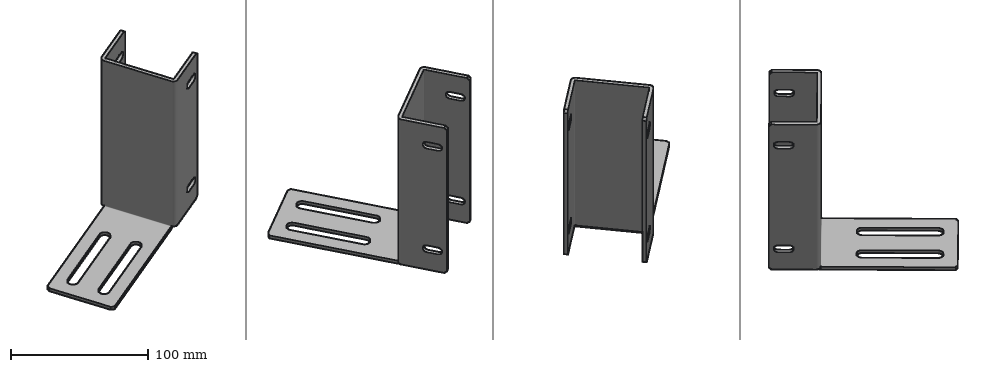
import cadquery as cq

thickness = 3.0
inner_radius = 0.5
outer_radius = inner_radius + thickness

width = 61.0
height = 143.0
flange_depth = 38.0
foot_length = 100.0
foot_width = width - 2 * outer_radius
corner_chamfer = 2.0
foot_chamfer_side = 2.5
foot_chamfer_length = 1.7

foot_slot_width = 8.5
foot_slot_length = 63.5
foot_slot_spacing = 25.0
foot_slot_margin = 10.6

flange_slot_width = 6.5
flange_slot_length = 14.6
flange_slot_edge = 11.0
flange_slot_inset = 20.0


def make_channel():
    """U-shaped channel standing on the level of the foot's upper face."""
    length = height - thickness
    outer = (
        cq.Workplane("XY", origin=(0, flange_depth / 2, thickness))
        .rect(width, flange_depth)
        .extrude(length)
        .edges("|Z and <Y")
        .fillet(outer_radius)
    )
    inner = (
        cq.Workplane("XY", origin=(0, flange_depth / 2 + thickness, thickness))
        .rect(width - 2 * thickness, flange_depth)
        .extrude(length)
        .edges("|Z and <Y")
        .fillet(inner_radius)
    )
    return outer.cut(inner).edges("|X and >Y").chamfer(corner_chamfer)


def make_foot():
    """Flat foot with the bend that joins it to the web."""
    foot = (
        cq.Workplane("YZ", origin=(-foot_width / 2, 0, 0))
        .moveTo(-foot_length, 0)
        .lineTo(-inner_radius, 0)
        .radiusArc((thickness, outer_radius), -outer_radius)
        .lineTo(0, outer_radius)
        .radiusArc((-inner_radius, thickness), inner_radius)
        .lineTo(-foot_length, thickness)
        .close()
        .extrude(foot_width)
    )
    half = foot_width / 2
    for side in (-1, 1):
        corner = (
            cq.Workplane("XY")
            .moveTo(side * half, -foot_length)
            .lineTo(side * (half - foot_chamfer_side), -foot_length)
            .lineTo(side * half, -foot_length + foot_chamfer_length)
            .close()
            .extrude(thickness)
        )
        foot = foot.cut(corner)
    return foot


def make_foot_slots():
    """Pair of cutters running lengthwise through the foot."""
    centre_y = -foot_length + foot_slot_margin + foot_slot_length / 2
    return (
        cq.Workplane("XY")
        .pushPoints([(side * foot_slot_spacing / 2, centre_y) for side in (-1, 1)])
        .slot2D(foot_slot_length, foot_slot_width, 90)
        .extrude(thickness)
    )


def make_flange_slots():
    """Upper and lower cutters passing through both flanges."""
    centre_y = flange_depth - flange_slot_edge
    levels = (thickness + flange_slot_inset, height - flange_slot_inset)
    return (
        cq.Workplane("YZ")
        .pushPoints([(centre_y, level) for level in levels])
        .slot2D(flange_slot_length, flange_slot_width)
        .extrude(width / 2, both=True)
    )


bracket = make_channel().union(make_foot())
result = bracket.cut(make_foot_slots()).cut(make_flange_slots())